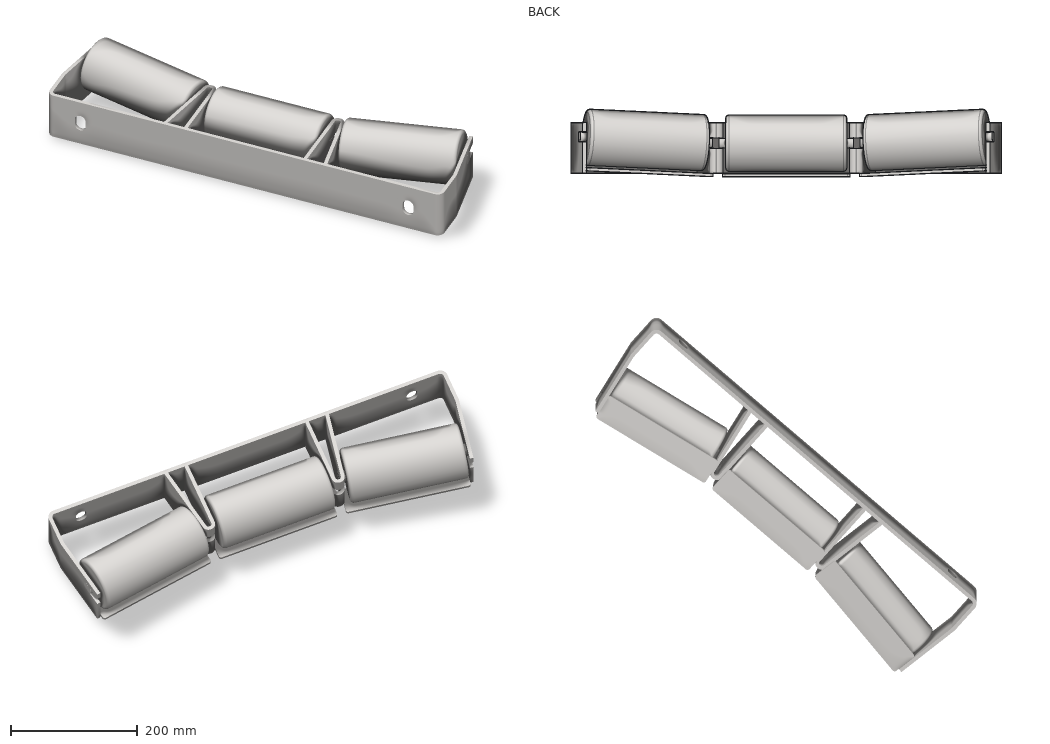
import cadquery as cq
import math

FRAME_LENGTH = 680.0
STRIP_HEIGHT = 80.0
STRIP_THICKNESS = 6.0
CORNER_RADIUS = 12.0
SLANT_START_Y = 59.5
END_PLATE_REACH = 166.0

MOUNT_HOLE_SPACING = 565.0
MOUNT_HOLE_WIDTH = 18.5
MOUNT_HOLE_HEIGHT = 28.0
MOUNT_HOLE_Z = STRIP_HEIGHT / 2

TROUGH_ANGLE = 10.0
LEAN_ANGLE = 15.0
CENTER_AXIS_Y = 100.3
CENTER_AXIS_Z = 47.7
SIDE_ROLLER_X = 222.2
SIDE_SETBACK = 18.8

trough_sin = math.sin(math.radians(TROUGH_ANGLE))
trough_cos = math.cos(math.radians(TROUGH_ANGLE))
trough_tan = math.tan(math.radians(TROUGH_ANGLE))
lean_tan = math.tan(math.radians(LEAN_ANGLE))
side_rise = SIDE_SETBACK * lean_tan
side_tilt = math.degrees(math.atan(trough_sin * lean_tan))

DRUM_DIAMETER = 89.0
DRUM_LENGTH = 191.0
DRUM_RIM_RADIUS = 5.0
SPINDLE_DIAMETER = 20.0
SPINDLE_FLATS = 15.0
SEAT_SPAN = 200.0
SPINDLE_LENGTH = SEAT_SPAN + 2 * STRIP_THICKNESS
SLOT_WIDTH = 16.5

BAR_LENGTH = 202.0
BAR_WIDTH = 42.0
BAR_THICKNESS = 5.0
BAR_CORNER_RADIUS = 4.0
BAR_UNDERSIDE_DROP = 53.2
BAR_SETBACK = 17.7
SIDE_BAR_SHIFT = 3.6

DIVIDER_REACH = 126.0
NOSE_RADIUS = 10.0

LEFT, CENTER, RIGHT = -1, 0, 1


def place(body, station):
    """Move a body built around a roller axis along X to the left, center or right station."""
    tilted = body.rotate((0, 0, 0), (0, 1, 0), -station * side_tilt)
    swung = tilted.rotate((0, 0, 0), (0, 0, 1), station * TROUGH_ANGLE)
    return swung.translate(
        (
            station * SIDE_ROLLER_X,
            CENTER_AXIS_Y + abs(station) * SIDE_SETBACK,
            CENTER_AXIS_Z + abs(station) * side_rise,
        )
    )


def cylinder_along_x(diameter, length):
    return cq.Workplane("YZ", origin=(-length / 2, 0, 0)).circle(diameter / 2).extrude(length)


def flatted_rod(length, across_flats):
    """Round rod along X with flats on its top and bottom."""
    flats = cq.Workplane("XY").box(length, SPINDLE_DIAMETER, across_flats)
    return cylinder_along_x(SPINDLE_DIAMETER, length).intersect(flats)


def make_roller(station):
    drum = cylinder_along_x(DRUM_DIAMETER, DRUM_LENGTH).faces("|X").edges().fillet(DRUM_RIM_RADIUS)
    return place(drum.union(flatted_rod(SPINDLE_LENGTH, SPINDLE_FLATS)), station)


def make_bar(station):
    bar = cq.Workplane("XY").box(BAR_LENGTH, BAR_WIDTH, BAR_THICKNESS).edges("|Z").fillet(BAR_CORNER_RADIUS)
    inward_shift = -station * SIDE_BAR_SHIFT
    return place(bar.translate((inward_shift, BAR_SETBACK, BAR_THICKNESS / 2 - BAR_UNDERSIDE_DROP)), station)


def spindle_slots(station):
    """Cutter for the two slots that hold a spindle: open toward +Y, round at the seat."""
    length = SPINDLE_LENGTH + 2 * STRIP_THICKNESS
    slot = cq.Workplane("XY").box(length, DRUM_DIAMETER, SLOT_WIDTH).translate((0, DRUM_DIAMETER / 2, 0))
    return place(slot.union(flatted_rod(length, SLOT_WIDTH)), station)


def fillet_upright_edges(body, points, radius):
    """Round the vertical edges of a strip that stand at the given plan points."""
    for x, y in points:
        nearest = cq.selectors.NearestToPointSelector((x, y, STRIP_HEIGHT / 2))
        body = body.edges(nearest).fillet(radius)
    return body


def mirrored(points):
    return [(-x, y) for x, y in reversed(points)]


def frame_side(inset):
    """Plan points of the right side of the frame, on the face inset from its outer face."""
    side_x = FRAME_LENGTH / 2 - inset
    bend_y = SLANT_START_Y + inset * (1 / trough_cos - 1) / trough_tan
    tip_y = END_PLATE_REACH - inset * trough_sin
    return [(side_x, inset), (side_x, bend_y), (side_x - (tip_y - bend_y) * trough_tan, tip_y)]


def make_frame():
    outer = frame_side(0)
    inner = frame_side(STRIP_THICKNESS)
    outline = mirrored(outer) + outer + inner[::-1] + mirrored(inner)[::-1]
    frame = cq.Workplane("XY").polyline(outline).close().extrude(STRIP_HEIGHT)
    for side, radius in ((outer, CORNER_RADIUS), (inner, CORNER_RADIUS - STRIP_THICKNESS)):
        bends = side[:2]
        frame = fillet_upright_edges(frame, bends + mirrored(bends), radius)
    mount_holes = (
        cq.Workplane("XZ", origin=(0, 0, MOUNT_HOLE_Z))
        .pushPoints([(-MOUNT_HOLE_SPACING / 2, 0), (MOUNT_HOLE_SPACING / 2, 0)])
        .slot2D(MOUNT_HOLE_HEIGHT, MOUNT_HOLE_WIDTH, 90)
        .extrude(-STRIP_THICKNESS)
    )
    return frame.cut(mount_holes).cut(spindle_slots(LEFT)).cut(spindle_slots(RIGHT))


def divider_side(inset):
    """Plan points of a right-hand divider, on the face inset from its outer face."""
    straight_x = SEAT_SPAN / 2 + inset
    nose_y = DIVIDER_REACH - inset
    seat_x = SIDE_ROLLER_X - SEAT_SPAN / 2 * trough_cos - inset / trough_cos
    seat_y = CENTER_AXIS_Y + SIDE_SETBACK - SEAT_SPAN / 2 * trough_sin

    def slanted_x(y):
        return seat_x - (y - seat_y) * trough_tan

    return [
        (straight_x, STRIP_THICKNESS),
        (straight_x, nose_y),
        (slanted_x(nose_y), nose_y),
        (slanted_x(STRIP_THICKNESS), STRIP_THICKNESS),
    ]


def make_divider(side):
    outer = divider_side(0)
    inner = divider_side(STRIP_THICKNESS)
    divider = cq.Workplane("XY").polyline(outer + inner[::-1]).close().extrude(STRIP_HEIGHT)
    divider = fillet_upright_edges(divider, outer[1:3], NOSE_RADIUS)
    divider = fillet_upright_edges(divider, inner[1:3], NOSE_RADIUS - STRIP_THICKNESS)
    if side == LEFT:
        divider = divider.mirror("YZ")
    return divider.cut(spindle_slots(CENTER)).cut(spindle_slots(side))


frame = make_frame()
dividers = [make_divider(side) for side in (LEFT, RIGHT)]
rollers = [make_roller(station) for station in (LEFT, CENTER, RIGHT)]
bars = [make_bar(station) for station in (LEFT, CENTER, RIGHT)]

bodies = [frame, *dividers, *rollers, *bars]
result = cq.Compound.makeCompound([body.val() for body in bodies])